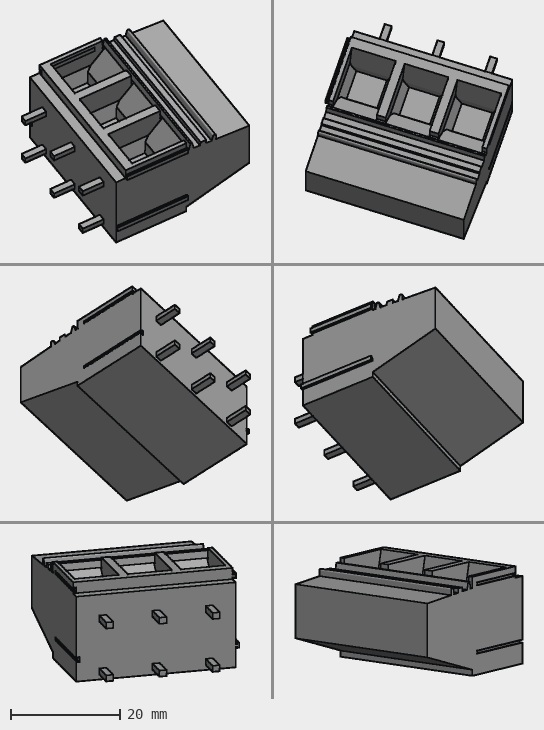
import cadquery as cq

pole_count = 3
pole_pitch = 10.15
body_width = pole_count * pole_pitch

block_depth = 15.05
body_depth = 28.55
body_height = 18.48
ledge_depth = 2.05
ledge_height = 16.35
roof_front_height = 16.4
roof_back_height = 15.58
underside_front_height = 1.15
underside_back_height = 5.5
roof_slope = (roof_front_height - roof_back_height) / (body_depth - block_depth)

round_ridge_front = 20.45
round_ridge_back = 21.4
round_ridge_crest_start = (20.72, 17.1)
round_ridge_crest_end_height = 17.0

flat_ridge_front = 17.95
flat_ridge_back = 19.3
flat_ridge_height = 16.95
flat_ridge_lean = 0.15

taper_ridge_front = 15.58
taper_ridge_back = 16.63
taper_ridge_height = 17.72
taper_ridge_lean = 0.33

funnel_width = 8.45
funnel_front = 3.95
funnel_front_lean = 1.32
funnel_front_lean_foot = 12.55
funnel_back = taper_ridge_front
ramp_run = 3.95
side_slope_top = 13.33
floor_width = 5.87
floor_back = 11.02
floor_height = 10.55

pin_length = 4.45
pin_width = 1.35
pin_thickness = 1.2
lower_pin_height = 1.6
pin_heights = (lower_pin_height, lower_pin_height + pole_pitch)

lower_rail_height = 4.2
upper_rail_height = 16.93
groove_end = 13.53
rail_reach = 0.65
rail_neck_length = 0.3
rail_neck_height = 0.53
rail_head_height = 1.0


def roof_height(y):
    return roof_back_height + roof_slope * (body_depth - y)


def side_prism(outline, x_center, width):
    """Extrude a Y-Z outline along X, centred on x_center."""
    return outline.close().extrude(width / 2, both=True).translate((x_center, 0, 0))


def make_housing():
    outline = cq.Workplane("YZ").polyline([
        (0, 0),
        (0, ledge_height),
        (ledge_depth, ledge_height),
        (ledge_depth, body_height),
        (block_depth, body_height),
        (block_depth, roof_front_height),
        (body_depth, roof_back_height),
        (body_depth, underside_back_height),
        (block_depth, underside_front_height),
        (block_depth, 0),
    ])
    return side_prism(outline, body_width / 2, body_width)


def make_round_ridge():
    outline = (
        cq.Workplane("YZ")
        .moveTo(round_ridge_front, roof_height(round_ridge_front))
        .lineTo(*round_ridge_crest_start)
        .tangentArcPoint((round_ridge_back, round_ridge_crest_end_height), relative=False)
        .lineTo(round_ridge_back, roof_height(round_ridge_back))
    )
    return side_prism(outline, body_width / 2, body_width)


def make_flat_ridge():
    outline = cq.Workplane("YZ").polyline([
        (flat_ridge_front, roof_height(flat_ridge_front)),
        (flat_ridge_front + flat_ridge_lean, flat_ridge_height),
        (flat_ridge_back, flat_ridge_height),
        (flat_ridge_back, roof_height(flat_ridge_back)),
    ])
    return side_prism(outline, body_width / 2, body_width)


def make_taper_ridge():
    outline = cq.Workplane("YZ").polyline([
        (taper_ridge_front, roof_height(taper_ridge_front)),
        (taper_ridge_front + taper_ridge_lean, taper_ridge_height),
        (taper_ridge_back - taper_ridge_lean, taper_ridge_height),
        (taper_ridge_back, roof_height(taper_ridge_back)),
    ])
    return side_prism(outline, body_width / 2, body_width)


def make_funnel(x_center):
    """Cutter whose shape is the overlap of its side profile and its cross profile."""
    ramp_top = roof_height(funnel_back)
    floor_front = funnel_front + funnel_front_lean
    side_outline = cq.Workplane("YZ").polyline([
        (funnel_front, body_height),
        (floor_front, funnel_front_lean_foot),
        (floor_front, floor_height),
        (floor_back, floor_height),
        (funnel_back - ramp_run, ramp_top - ramp_run),
        (funnel_back, ramp_top),
        (funnel_back, body_height),
    ])
    half_mouth = funnel_width / 2
    half_floor = floor_width / 2
    cross_outline = cq.Workplane("XZ").polyline([
        (-half_mouth, body_height),
        (-half_mouth, side_slope_top),
        (-half_floor, floor_height),
        (half_floor, floor_height),
        (half_mouth, side_slope_top),
        (half_mouth, body_height),
    ])
    cross_prism = cross_outline.close().extrude(-body_depth).translate((x_center, 0, 0))
    return side_prism(side_outline, x_center, funnel_width).intersect(cross_prism)


def make_pin(x_center, z_center):
    pin = cq.Workplane("XZ").rect(pin_width, pin_thickness).extrude(pin_length)
    return pin.translate((x_center, 0, z_center))


def make_rail(x_root, z_center, y_start, y_end):
    """T-shaped bar reaching from x_root toward +X."""
    neck = cq.Workplane("XY").box(
        rail_neck_length, y_end - y_start, rail_neck_height, centered=(False, False, True))
    head = cq.Workplane("XY").box(
        rail_reach - rail_neck_length, y_end - y_start, rail_head_height, centered=(False, False, True))
    rail = neck.union(head.translate((rail_neck_length, 0, 0)))
    return rail.translate((x_root, y_start, z_center))


result = make_housing().union(make_round_ridge()).union(make_flat_ridge()).union(make_taper_ridge())

for pole in range(pole_count):
    pole_center = (pole + 0.5) * pole_pitch
    result = result.cut(make_funnel(pole_center))
    for pin_z in pin_heights:
        result = result.union(make_pin(pole_center, pin_z))

for rail_z, rail_start in ((lower_rail_height, 0), (upper_rail_height, ledge_depth)):
    result = result.union(make_rail(body_width, rail_z, rail_start, block_depth))
    result = result.cut(make_rail(0, rail_z, rail_start, groove_end))